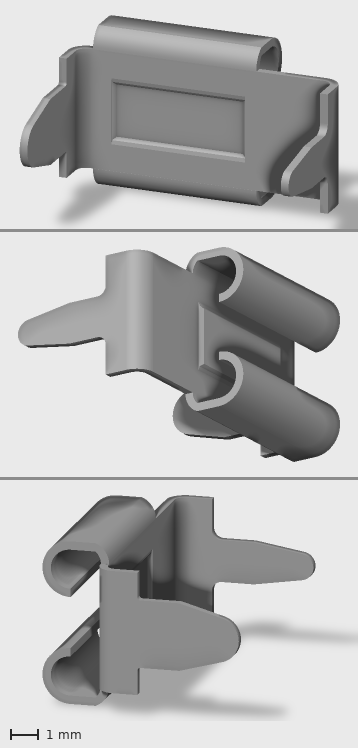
import cadquery as cq


length = 10.46
web_height = 4.58
sheet = 0.3
bend_radius = 0.7
leg_tip = 5.39
shoulder = 1.59
taper_start = 3.16

wide_half_width = 1.27
wide_root_radius = 0.12
wide_tip_start = 4.81
wide_tip_half_width = 0.81

narrow_half_width = 0.78
narrow_root_radius = 0.37
narrow_tip_start = 4.97
narrow_tip_half_width = 0.49

hook_sheet = 0.31
hook_left = -4.41
hook_width = 6.35
overall_height = 6.1
hook_top = overall_height / 2
hook_radius = 1.05
hook_back = 2.19
hook_bend_end = 0.2

panel_center_x = -1.1
panel_length = 5.2
panel_height = 2.53
panel_edge = 0.15
panel_floor_edge = 0.12
panel_rise = 0.15
panel_lip_depth = 0.04
boss_margin = 0.1


def channel():
    """Web and both legs bent from one strip, at full web height."""

    def block(width, back_y, corner_radius):
        return (
            cq.Workplane("XY", origin=(0, back_y - leg_tip / 2, 0))
            .box(width, leg_tip, web_height)
            .edges("|Z and >Y")
            .fillet(corner_radius)
        )

    outside = block(length, 0, bend_radius)
    inside = block(length - 2 * sheet, -sheet, bend_radius - sheet)
    return outside.cut(inside)


def leg_outline(half_width, root_radius, tip_start, tip_half_width):
    """Leg profile in YZ, extending from the back of the web to the tip."""
    half_web = web_height / 2
    root = half_width + root_radius
    return (
        cq.Workplane("YZ")
        .moveTo(0, half_web)
        .lineTo(-shoulder, half_web)
        .lineTo(-shoulder, root)
        .radiusArc((-shoulder - root_radius, half_width), root_radius)
        .lineTo(-taper_start, half_width)
        .lineTo(-tip_start, tip_half_width)
        .threePointArc((-leg_tip, 0), (-tip_start, -tip_half_width))
        .lineTo(-taper_start, -half_width)
        .lineTo(-shoulder - root_radius, -half_width)
        .radiusArc((-shoulder, -root), root_radius)
        .lineTo(-shoulder, -half_web)
        .lineTo(0, -half_web)
        .close()
    )


def tangent_radius(depth, height):
    """Radius of an arc that leaves a vertical line and ends depth across and height up."""
    return (depth**2 + height**2) / (2 * depth)


def hook():
    """Upper hook: rises from the web, bends back and curls round to face inward."""
    axis_y = hook_back - hook_radius
    axis_z = hook_top - hook_radius
    inner_radius = hook_radius - hook_sheet
    root_z = web_height / 2
    bend_height = hook_top - root_z
    outer_bend = tangent_radius(hook_bend_end + hook_sheet, bend_height)
    inner_bend = tangent_radius(hook_bend_end, bend_height - hook_sheet)
    return (
        cq.Workplane("YZ", origin=(hook_left, 0, 0))
        .moveTo(-hook_sheet, root_z)
        .radiusArc((hook_bend_end, hook_top), outer_bend)
        .lineTo(axis_y, hook_top)
        .threePointArc((hook_back, axis_z), (axis_y, axis_z - hook_radius))
        .lineTo(axis_y, axis_z - inner_radius)
        .threePointArc((axis_y + inner_radius, axis_z), (axis_y, axis_z + inner_radius))
        .lineTo(hook_bend_end, hook_top - hook_sheet)
        .radiusArc((0, root_z), -inner_bend)
        .close()
        .extrude(hook_width)
    )


def frustum(y_start, rise, base, top):
    """Solid tapering toward +Y between two rectangles given as (length, height)."""
    return (
        cq.Workplane("XZ", origin=(panel_center_x, y_start, 0))
        .rect(*base)
        .workplane(offset=-rise)
        .rect(*top)
        .loft(ruled=True)
    )


def panel(y_start, base_length, base_height):
    """Embossed shape: a lip sloped above and below, then a floor sloped on all four sides."""
    lip_height = base_height - 2 * panel_edge
    lip = frustum(y_start, panel_lip_depth, (base_length, base_height), (base_length, lip_height))
    floor = frustum(
        y_start + panel_lip_depth,
        panel_rise - panel_lip_depth,
        (base_length, lip_height),
        (base_length - 2 * panel_edge, lip_height - 2 * panel_floor_edge),
    )
    return lip.union(floor)


left_leg = leg_outline(wide_half_width, wide_root_radius, wide_tip_start, wide_tip_half_width)
right_leg = leg_outline(narrow_half_width, narrow_root_radius, narrow_tip_start, narrow_tip_half_width)
leg_limits = left_leg.extrude(-length / 2).union(right_leg.extrude(length / 2))

panel_boss = panel(0, panel_length + boss_margin, panel_height + boss_margin)
panel_recess = panel(-sheet, panel_length, panel_height)

upper_hook = hook()
lower_hook = upper_hook.mirror("XY")

result = channel().intersect(leg_limits)
result = result.union(upper_hook).union(lower_hook)
result = result.union(panel_boss).cut(panel_recess)